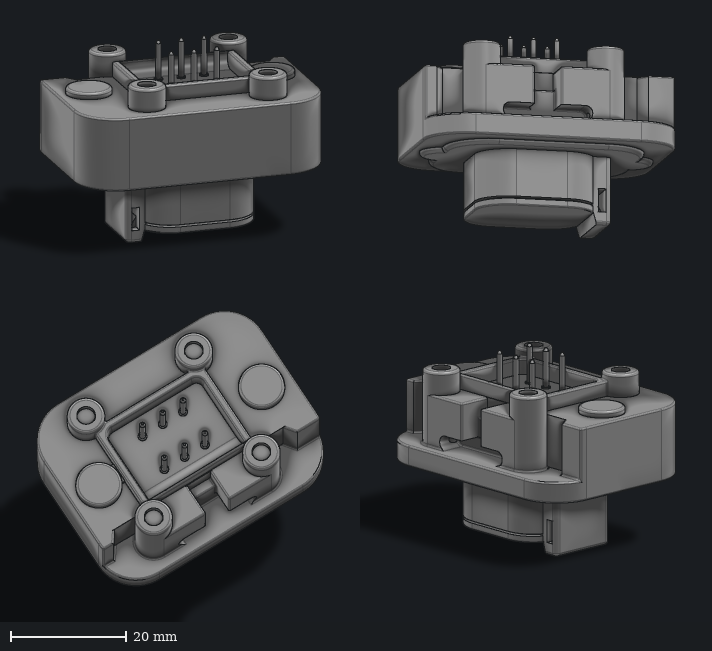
import cadquery as cq
import math

LENGTH = 44.85
WIDTH = 33.1
CORNER_RADIUS = 7.65
EDGE_ROUND = 0.3
BASE_ROUND = 0.35

SKIRT_BOTTOM = 12.0
FLANGE_BOTTOM = 12.87
FLANGE_TOP = 16.65
HOUSING_TOP = 26.0
DISC_TOP = 27.2
RIM_TOP = 28.7
BOSS_TOP = 30.15
PIN_TOP = 33.25

CONNECTOR_Y = 1.35

WALL_X = -8.1
EAR_X = -10.25
EAR_INNER_OFFSET = 17.35
EAR_OUTER_OFFSET = 18.95

BOSS_X = 10.95
BOSS_OFFSET_Y = 11.1
BOSS_RADIUS = 3.27
BOSS_HOLE_RADIUS = 1.6
BOSS_HOLE_DEPTH = 1.2
BOSS_ROUND = 0.5

BRIDGE_X = -BOSS_X - BOSS_RADIUS
GAP_WIDTH = 4.75
SLOT_LENGTH = 15.95
SLOT_HEIGHT = 2.65
LEDGE_X = -9.95
LEDGE_ROUND = 0.25
LEDGE_TOP = 22.5

DISC_Y = 16.75
DISC_RADIUS = 4.05
DISC_ROUND = 0.45
RIB_WIDTH = 3.7

RIM_MIN_X = -8.0
RIM_MAX_X = 8.55
RIM_LENGTH = 22.4
POCKET_MIN_X = -7.55
POCKET_MAX_X = 6.95
POCKET_LENGTH = 19.15
POCKET_CORNER = 1.35
POCKET_DRAFT = 0.3
POCKET_FLOOR_ROUND = 2.35
POCKET_LIP_ROUND = 0.25

PIN_X = 3.55
PIN_PITCH_Y = 4.15
PIN_RADIUS = 0.5
PIN_TIP_HEIGHT = 0.55
PIN_TIP_RADIUS = 0.2
PIN_COLLAR_RADIUS = 0.75
PIN_COLLAR_HEIGHT = 0.22

SKIRT_WIDTH = 26.55
SKIRT_LENGTH = 35.55
SKIRT_CORNER = 8.0
SKIRT_ROUND = 0.8

SHELL_WIDTH = 19.4
SHELL_LENGTH = 21.2
SHELL_CORNER = 6.05
SHELL_BOTTOM = 2.0
GROOVE_BOTTOM = 3.2
GROOVE_HEIGHT = 0.4
GROOVE_DEPTH = 1.25
LIP_ROUND = 0.22

TAB_WIDTH = 12.75
TAB_OUTER_Y = -11.95
TAB_INNER_Y = -8.4
TAB_TOE_Y = -9.25
TAB_TAPER_TOP = 3.0
TAB_CORNER_ROUND = 0.9
TAB_BOTTOM_ROUND = 0.6
WINDOW_OUTER_Y = -10.95
WINDOW_INNER_Y = -9.55
WINDOW_BOTTOM = 2.25
WINDOW_TOP = 6.35
CATCH_WIDTH = 8.95
CATCH_TOP = 4.2
CATCH_TIP_Y = -10.7


def box(x_range, y_range, z_range):
    """Box spanning the given (low, high) ranges."""
    sizes = [high - low for low, high in (x_range, y_range, z_range)]
    corner = (x_range[0], y_range[0], z_range[0])
    return cq.Workplane("XY").box(*sizes, centered=False).translate(corner)


def rounded_block(width, length, corner, bottom, top, center_y=0.0):
    """Upright block with rounded vertical edges, centred on X = 0."""
    block = cq.Workplane("XY", origin=(0, center_y, bottom)).rect(width, length).extrude(top - bottom)
    return block.edges("|Z").fillet(corner)


def at_x(x):
    """Selector for edges whose centres lie at the given X."""
    return cq.selectors.BoxSelector((x - 0.05, -LENGTH, 0), (x + 0.05, LENGTH, PIN_TOP))


def cylinder(x, y, radius, bottom, top):
    return cq.Workplane("XY", origin=(x, y, bottom)).circle(radius).extrude(top - bottom)


def span(center, length):
    """Range of the given length about a centre."""
    return (center - length / 2, center + length / 2)


def make_flange():
    flange = rounded_block(WIDTH, LENGTH, CORNER_RADIUS, FLANGE_BOTTOM, FLANGE_TOP)
    return flange.faces("<Z or >Z").edges().fillet(EDGE_ROUND)


def make_housing():
    """Upper block whose -X face is set back, with chamfered ears at both ends."""
    housing = rounded_block(WIDTH, LENGTH, CORNER_RADIUS, FLANGE_TOP - 2 * EDGE_ROUND, HOUSING_TOP)
    low_inner, low_outer = CONNECTOR_Y - EAR_INNER_OFFSET, CONNECTOR_Y - EAR_OUTER_OFFSET
    high_inner, high_outer = CONNECTOR_Y + EAR_INNER_OFFSET, CONNECTOR_Y + EAR_OUTER_OFFSET
    cutaway = (
        cq.Workplane("XY", origin=(0, 0, FLANGE_BOTTOM))
        .polyline(
            [
                (-WIDTH, -LENGTH),
                (EAR_X, -LENGTH),
                (EAR_X, low_outer),
                (WALL_X, low_inner),
                (WALL_X, high_inner),
                (EAR_X, high_outer),
                (EAR_X, LENGTH),
                (-WIDTH, LENGTH),
            ]
        )
        .close()
        .extrude(HOUSING_TOP)
    )
    housing = housing.cut(cutaway)
    housing = housing.edges("|Z").edges(at_x(EAR_X)).edges("<Y or >Y").fillet(EDGE_ROUND)
    return housing.faces(">Z").edges(cq.selectors.InverseSelector(at_x(WALL_X))).fillet(EDGE_ROUND)


def make_bridge():
    """Two blocks between the -X bosses, above a round-ended slot and around a low ledge."""
    gap = span(CONNECTOR_Y, GAP_WIDTH)
    back_x = WALL_X + 0.45
    bridge = box((BRIDGE_X, back_x), span(CONNECTOR_Y, 2 * BOSS_OFFSET_Y), (FLANGE_TOP, HOUSING_TOP))
    bridge = bridge.cut(box((BRIDGE_X, back_x), gap, (FLANGE_TOP, HOUSING_TOP)))
    gap_mouth = cq.selectors.BoxSelector(
        (BRIDGE_X - 0.05, gap[0] - 0.05, FLANGE_TOP), (BRIDGE_X + 0.05, gap[1] + 0.05, HOUSING_TOP)
    )
    mouth_edges = bridge.edges("|Z").edges(gap_mouth).vals()
    bridge = bridge.faces(">Z").edges().add(mouth_edges).fillet(EDGE_ROUND)

    filler = box((LEDGE_X - BASE_ROUND, back_x), gap, (FLANGE_TOP, LEDGE_TOP + BASE_ROUND))
    slot = (
        cq.Workplane("YZ", origin=(BRIDGE_X, CONNECTOR_Y, FLANGE_TOP + SLOT_HEIGHT / 2))
        .slot2D(SLOT_LENGTH, SLOT_HEIGHT)
        .extrude(LEDGE_X - BRIDGE_X)
    )
    channel = slot.union(
        box((BRIDGE_X, LEDGE_X), gap, (FLANGE_TOP + SLOT_HEIGHT / 2, HOUSING_TOP))
    )
    channel = channel.faces(">X").edges().fillet(BASE_ROUND)
    notch = box((LEDGE_X - BASE_ROUND, WALL_X), gap, (LEDGE_TOP, HOUSING_TOP))
    notch = notch.edges("|X and <Z").fillet(BASE_ROUND)
    bridge = bridge.union(filler).cut(channel).cut(notch)
    ledge_edge = cq.selectors.BoxSelector(
        (LEDGE_X - 0.05, gap[0] + 0.45, LEDGE_TOP - 0.05), (LEDGE_X + 0.05, gap[1] - 0.45, LEDGE_TOP + 0.05)
    )
    return bridge.edges("|Y").edges(ledge_edge).fillet(LEDGE_ROUND)


def make_bosses():
    bosses = cq.Workplane("XY")
    for x in (-BOSS_X, BOSS_X):
        for y in (CONNECTOR_Y - BOSS_OFFSET_Y, CONNECTOR_Y + BOSS_OFFSET_Y):
            boss = cylinder(x, y, BOSS_RADIUS, FLANGE_TOP, BOSS_TOP).edges(">Z").fillet(BOSS_ROUND)
            bosses = bosses.add(boss)
    return bosses.combine()


def make_boss_holes():
    return (
        cq.Workplane("XY", origin=(0, CONNECTOR_Y, BOSS_TOP - BOSS_HOLE_DEPTH))
        .rect(2 * BOSS_X, 2 * BOSS_OFFSET_Y, forConstruction=True)
        .vertices()
        .circle(BOSS_HOLE_RADIUS)
        .extrude(BOSS_HOLE_DEPTH)
    )


def make_discs():
    discs = cylinder(0, DISC_Y, DISC_RADIUS, FLANGE_TOP, DISC_TOP)
    discs = discs.union(cylinder(0, -DISC_Y, DISC_RADIUS, FLANGE_TOP, DISC_TOP))
    discs = discs.edges(">Z").fillet(DISC_ROUND)
    rib_y = (CONNECTOR_Y + RIM_LENGTH / 2 - 0.45, DISC_Y - DISC_RADIUS + 0.9)
    return discs.union(box(span(0, RIB_WIDTH), rib_y, (FLANGE_TOP, DISC_TOP - DISC_ROUND)))


def make_rim():
    """Rectangular rim around the pin pocket."""
    rim = box((RIM_MIN_X, RIM_MAX_X), span(CONNECTOR_Y, RIM_LENGTH), (FLANGE_TOP, RIM_TOP))
    return rim.faces(">Z").edges().fillet(EDGE_ROUND)


def make_pocket():
    """Drafted pocket for the pins: coved floor on the -X side, rounded corners on the +X side."""
    depth = RIM_TOP - HOUSING_TOP
    draft_angle = math.degrees(math.atan(POCKET_DRAFT / depth))
    uncut_min_x = POCKET_MIN_X - 2 * POCKET_CORNER
    outline = (
        cq.Sketch().rect(POCKET_MAX_X - uncut_min_x, POCKET_LENGTH).vertices().fillet(POCKET_CORNER)
    )
    pocket = (
        cq.Workplane("XY", origin=((POCKET_MAX_X + uncut_min_x) / 2, CONNECTOR_Y, HOUSING_TOP))
        .placeSketch(outline)
        .extrude(depth, taper=-draft_angle)
    )
    pocket = pocket.intersect(
        box((POCKET_MIN_X, WIDTH), (-LENGTH, LENGTH), (HOUSING_TOP, RIM_TOP))
    )
    return pocket.edges("<X and <Z").fillet(POCKET_FLOOR_ROUND)


def round_pocket_lip(body):
    """Fillet the pocket mouth except along its -X side."""
    mouth = cq.selectors.BoxSelector(
        (POCKET_MIN_X + 0.05, CONNECTOR_Y - RIM_LENGTH / 2 + 0.45, RIM_TOP - 0.05),
        (RIM_MAX_X - 0.45, CONNECTOR_Y + RIM_LENGTH / 2 - 0.45, RIM_TOP + 0.05),
    )
    return body.edges(mouth).fillet(POCKET_LIP_ROUND)


def make_pins():
    """Two rows of three pins with conical tips and small collars at the pocket floor."""
    embed = HOUSING_TOP - 0.45
    profile = [
        (0, embed),
        (PIN_COLLAR_RADIUS, embed),
        (PIN_COLLAR_RADIUS, HOUSING_TOP + PIN_COLLAR_HEIGHT),
        (PIN_RADIUS, HOUSING_TOP + PIN_COLLAR_HEIGHT),
        (PIN_RADIUS, PIN_TOP - PIN_TIP_HEIGHT),
        (PIN_TIP_RADIUS, PIN_TOP),
        (0, PIN_TOP),
    ]
    pin = cq.Workplane("XZ").polyline(profile).close().revolve(360, (0, 0, 0), (0, 1, 0))
    pins = cq.Workplane("XY")
    for x in (-PIN_X, PIN_X):
        for row in (-1, 0, 1):
            pins = pins.add(pin.translate((x, CONNECTOR_Y + row * PIN_PITCH_Y, 0)))
    return pins.combine()


def make_skirt():
    """Raised pad under the flange, with round lobes at both ends."""
    skirt = rounded_block(SKIRT_WIDTH, SKIRT_LENGTH, SKIRT_CORNER, SKIRT_BOTTOM, FLANGE_BOTTOM)
    for y in (-DISC_Y, DISC_Y):
        skirt = skirt.union(cylinder(0, y, DISC_RADIUS, SKIRT_BOTTOM, FLANGE_BOTTOM))
    return skirt.faces("<Z").edges().fillet(SKIRT_ROUND)


def make_shell():
    """Connector shell with a narrow groove above its lower lip."""
    shell = rounded_block(
        SHELL_WIDTH, SHELL_LENGTH, SHELL_CORNER, SHELL_BOTTOM, FLANGE_BOTTOM, CONNECTOR_Y
    )
    shell = shell.faces("<Z").edges().fillet(LIP_ROUND)
    groove_top = GROOVE_BOTTOM + GROOVE_HEIGHT
    core = rounded_block(
        SHELL_WIDTH - 2 * GROOVE_DEPTH,
        SHELL_LENGTH - 2 * GROOVE_DEPTH,
        SHELL_CORNER - GROOVE_DEPTH,
        GROOVE_BOTTOM,
        groove_top,
        CONNECTOR_Y,
    )
    around = box((-WIDTH, WIDTH), (-LENGTH, LENGTH), (GROOVE_BOTTOM, groove_top))
    return shell.cut(around.cut(core))


def extrude_across(points, width):
    """Extrude a (Y, Z) outline symmetrically along X."""
    return cq.Workplane("YZ").polyline(points).close().extrude(width / 2, both=True)


def make_tab():
    """Latch tab with a window through it and a sloped catch inside the window."""
    tab = extrude_across(
        [
            (TAB_OUTER_Y, 0),
            (TAB_TOE_Y, 0),
            (TAB_INNER_Y, TAB_TAPER_TOP),
            (TAB_INNER_Y, FLANGE_BOTTOM),
            (TAB_OUTER_Y, FLANGE_BOTTOM),
        ],
        TAB_WIDTH,
    )
    tab = tab.edges("|Z and <Y").fillet(TAB_CORNER_ROUND)
    tab = tab.faces("<Z").edges("not >Y").fillet(TAB_BOTTOM_ROUND)
    window = box(span(0, TAB_WIDTH), (WINDOW_OUTER_Y, WINDOW_INNER_Y), (WINDOW_BOTTOM, WINDOW_TOP))
    catch = extrude_across(
        [
            (WINDOW_INNER_Y, WINDOW_BOTTOM),
            (WINDOW_INNER_Y, CATCH_TOP),
            (CATCH_TIP_Y, WINDOW_BOTTOM),
        ],
        CATCH_WIDTH,
    )
    return tab.cut(window.cut(catch))


def round_exposed_base(body):
    """Fillet where the ears, -X bosses and bridge ends rise from the exposed flange."""
    bridge_end = (SLOT_LENGTH / 2, BOSS_OFFSET_Y + BOSS_RADIUS, BRIDGE_X - 0.05)
    ear = (EAR_INNER_OFFSET, LENGTH, EAR_X - 0.05)
    for inner_offset, outer_offset, min_x in (bridge_end, ear):
        for side in (-1, 1):
            low_y, high_y = sorted((CONNECTOR_Y + side * inner_offset, CONNECTOR_Y + side * outer_offset))
            region = cq.selectors.BoxSelector(
                (min_x, low_y, FLANGE_TOP - 0.005), (WALL_X - 0.05, high_y, FLANGE_TOP + 0.005)
            )
            body = body.edges(region).fillet(BASE_ROUND)
    return body


result = make_flange().union(make_housing()).union(make_bridge())
for feature in (make_bosses(), make_discs(), make_rim()):
    result = result.union(feature)
result = round_exposed_base(result)
result = round_pocket_lip(result.cut(make_pocket()))
result = result.cut(make_boss_holes()).union(make_pins())
for feature in (make_skirt(), make_shell(), make_tab()):
    result = result.union(feature)